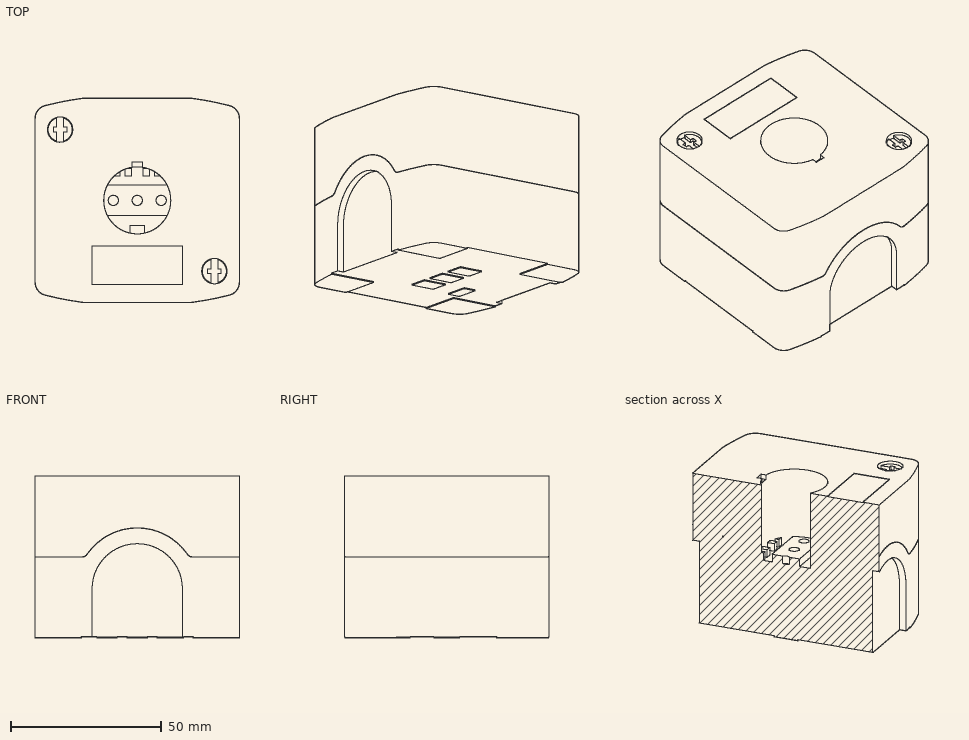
import cadquery as cq
SIDE = 68.0
HEIGHT = 53.9
TAPER_START = 17.8
TAPER_DROP = 3.4
TAPER_RADIUS = 102.0
TAPER_BLEND_RADIUS = 11.55
CORNER_RADIUS = 4.4
HALF = SIDE / 2
PICK_MARGIN = 0.7

ENTRY_RADIUS = 15.0
ENTRY_SPRING_Z = 16.3
ENTRY_DEPTH = 2.4

PARTING_Z = 26.9
ARCH_RADIUS = ENTRY_RADIUS + 5.25
ARCH_BLEND_RADIUS = 2.05
GROOVE_SIZE = 0.1

BORE_RADIUS = 11.15
BORE_FLOOR_Z = PARTING_Z
KEY_WIDTH = 3.3
KEY_REACH = 12.8
KEY_DEPTH = 1.6
RELIEF_HEIGHT = 2.7
BAR_WIDTH = 10.05
PIN_HOLE_RADIUS = 1.7
PIN_HOLE_PITCH = 7.95
TAB_WIDTH = 2.2
TAB_Y = (8.1, 10.55)
TAB_CENTERS = (2.9, 6.9)
STOP_WIDTH = 4.95
STOP_EDGE_Y = -8.4

LABEL_LENGTH = 30.0
LABEL_WIDTH = 12.85
LABEL_CENTER_Y = -21.55
LABEL_DEPTH = 0.15

SCREW_X = 25.65
SCREW_Y = 23.5
SCREW_HOLE_RADIUS = 4.2
SCREW_HEAD_RADIUS = 4.0
SCREW_HEAD_SINK = 0.95
SLOT_DEPTH = 1.3
SLOT_WIDTH = 2.3
CROSS_LENGTH = 4.4
CROSS_WIDTH = 1.55

FOOT_HEIGHT = 0.35
FOOT_GAP_X = 37.1
FOOT_GAP_Y = 33.2
PAD_SIZE = (6.8, 8.65)
PAD_PITCH = 10.05
MARK_PAD_SIZE = (8.8, 4.5)
MARK_PAD_CENTER = (11.0, -14.4)


def block(size_x, size_y, z_low, z_high, center=(0, 0)):
    """Upright rectangular block between two heights."""
    return (
        cq.Workplane("XY", origin=(center[0], center[1], z_low))
        .rect(size_x, size_y)
        .extrude(z_high - z_low)
    )


def disc(radius, z_low, z_high, center=(0, 0)):
    """Upright cylinder between two heights."""
    return (
        cq.Workplane("XY", origin=(center[0], center[1], z_low))
        .circle(radius)
        .extrude(z_high - z_low)
    )


def housing():
    """Square block whose front and back faces curve back towards rounded corners."""
    corner_y = HALF - TAPER_DROP
    body = (
        cq.Workplane("XY")
        .moveTo(-TAPER_START, HALF)
        .lineTo(TAPER_START, HALF)
        .radiusArc((HALF, corner_y), TAPER_RADIUS)
        .lineTo(HALF, -corner_y)
        .radiusArc((TAPER_START, -HALF), TAPER_RADIUS)
        .lineTo(-TAPER_START, -HALF)
        .radiusArc((-HALF, -corner_y), TAPER_RADIUS)
        .lineTo(-HALF, corner_y)
        .radiusArc((-TAPER_START, HALF), TAPER_RADIUS)
        .close()
        .extrude(HEIGHT)
    )
    body = body.faces("<X or >X").edges("|Z").fillet(CORNER_RADIUS)
    for x in (-TAPER_START, TAPER_START):
        strip = cq.selectors.BoxSelector(
            (x - PICK_MARGIN, -SIDE, -PICK_MARGIN), (x + PICK_MARGIN, SIDE, HEIGHT + PICK_MARGIN)
        )
        body = body.edges(strip).edges("|Z").fillet(TAPER_BLEND_RADIUS)
    return body


def cable_entries():
    """Arched pockets sunk into the front and back faces, open at the bottom."""
    entry = (
        cq.Workplane("XZ", origin=(0, -HALF + ENTRY_DEPTH, 0))
        .moveTo(-ENTRY_RADIUS, 0)
        .lineTo(-ENTRY_RADIUS, ENTRY_SPRING_Z)
        .threePointArc((0, ENTRY_SPRING_Z + ENTRY_RADIUS), (ENTRY_RADIUS, ENTRY_SPRING_Z))
        .lineTo(ENTRY_RADIUS, 0)
        .close()
        .extrude(ENTRY_DEPTH)
    )
    return entry.union(entry.mirror("XZ"))


def parting_groove(body):
    """Shallow groove around the outside, following the top of the base."""
    base_top = block(2 * SIDE, 2 * SIDE, -SIDE, PARTING_Z).union(
        cq.Workplane("XZ", origin=(0, SIDE, 0))
        .center(0, ENTRY_SPRING_Z)
        .circle(ARCH_RADIUS)
        .extrude(2 * SIDE)
    )
    valleys = cq.selectors.BoxSelector(
        (-ARCH_RADIUS, -SIDE, PARTING_Z - PICK_MARGIN), (ARCH_RADIUS, SIDE, PARTING_Z + PICK_MARGIN)
    )
    base_top = base_top.edges(valleys).edges("|Y").fillet(ARCH_BLEND_RADIUS)
    band = base_top.translate((0, 0, GROOVE_SIZE / 2)).cut(
        base_top.translate((0, 0, -GROOVE_SIZE / 2))
    )
    core = (
        body.faces("<Z").wires().toPending().offset2D(-GROOVE_SIZE).extrude(HEIGHT, combine=False)
    )
    return band.cut(core)


def control_bore():
    """Blind bore and keyway, leaving the raised relief standing on the bore floor."""
    relief_top = BORE_FLOOR_Z + RELIEF_HEIGHT
    bore = disc(BORE_RADIUS, BORE_FLOOR_Z, HEIGHT)

    relief = block(2 * BORE_RADIUS, BAR_WIDTH, BORE_FLOOR_Z, relief_top)
    for x in (-PIN_HOLE_PITCH, 0, PIN_HOLE_PITCH):
        relief = relief.cut(disc(PIN_HOLE_RADIUS, BORE_FLOOR_Z, relief_top, (x, 0)))
    tab_low, tab_high = TAB_Y
    for distance in TAB_CENTERS:
        for x in (-distance, distance):
            center = (x, (tab_low + tab_high) / 2)
            relief = relief.union(
                block(TAB_WIDTH, tab_high - tab_low, BORE_FLOOR_Z, relief_top, center)
            )
    stop_length = STOP_EDGE_Y + BORE_RADIUS
    stop_center = (0, STOP_EDGE_Y - stop_length / 2)
    relief = relief.union(block(STOP_WIDTH, stop_length, BORE_FLOOR_Z, relief_top, stop_center))

    key = block(KEY_WIDTH, KEY_REACH, HEIGHT - KEY_DEPTH, HEIGHT, (0, KEY_REACH / 2))
    return bore.cut(relief).union(key)


def screw_recess(x, y):
    """Screw hole around a sunken head with a slot and a short cross slot."""
    head_top = HEIGHT - SCREW_HEAD_SINK
    hole_floor = head_top - SLOT_DEPTH
    head = (
        disc(SCREW_HEAD_RADIUS, hole_floor, head_top, (x, y))
        .cut(block(SLOT_WIDTH, 2 * SCREW_HEAD_RADIUS, hole_floor, head_top, (x, y)))
        .cut(block(CROSS_LENGTH, CROSS_WIDTH, hole_floor, head_top, (x, y)))
    )
    return disc(SCREW_HOLE_RADIUS, hole_floor, HEIGHT, (x, y)).cut(head)


def underside_recess():
    """Cross-shaped recess that leaves the corner feet and the pads standing."""
    recess = block(FOOT_GAP_X, SIDE, 0, FOOT_HEIGHT).union(block(SIDE, FOOT_GAP_Y, 0, FOOT_HEIGHT))
    for x in (-PAD_PITCH, 0, PAD_PITCH):
        recess = recess.cut(block(*PAD_SIZE, 0, FOOT_HEIGHT, (x, 0)))
    return recess.cut(block(*MARK_PAD_SIZE, 0, FOOT_HEIGHT, MARK_PAD_CENTER))


body = housing()
result = (
    body.cut(parting_groove(body))
    .cut(cable_entries())
    .cut(control_bore())
    .cut(block(LABEL_LENGTH, LABEL_WIDTH, HEIGHT - LABEL_DEPTH, HEIGHT, (0, LABEL_CENTER_Y)))
    .cut(screw_recess(-SCREW_X, SCREW_Y))
    .cut(screw_recess(SCREW_X, -SCREW_Y))
    .cut(underside_recess())
)